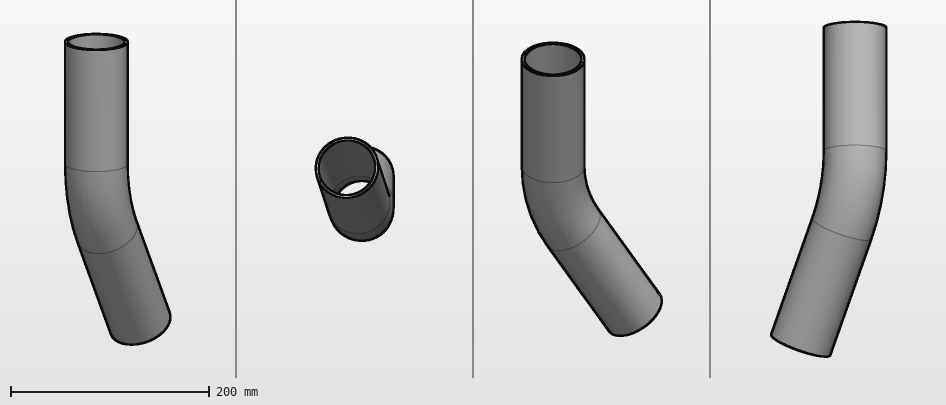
import cadquery as cq
import math

outer_diameter = 63.5
inner_diameter = 57.3
leg_length = 127.0
bend_radius = 152.5
bend_angle = 30.0


def bend_point(angle):
    """Centreline (y, z) point after turning by angle from the upper tangent point."""
    turn = math.radians(angle)
    return (bend_radius * (1 - math.cos(turn)), -bend_radius * math.sin(turn))


bend_start = bend_point(0)
bend_middle = bend_point(bend_angle / 2)
bend_end = bend_point(bend_angle)
lean = math.radians(bend_angle)
lower_end = (
    bend_end[0] + leg_length * math.sin(lean),
    bend_end[1] - leg_length * math.cos(lean),
)

centreline = (
    cq.Workplane("YZ")
    .moveTo(0, leg_length)
    .lineTo(*bend_start)
    .threePointArc(bend_middle, bend_end)
    .lineTo(*lower_end)
)

result = (
    cq.Workplane("XY", origin=(0, 0, leg_length))
    .circle(outer_diameter / 2)
    .circle(inner_diameter / 2)
    .sweep(centreline)
)